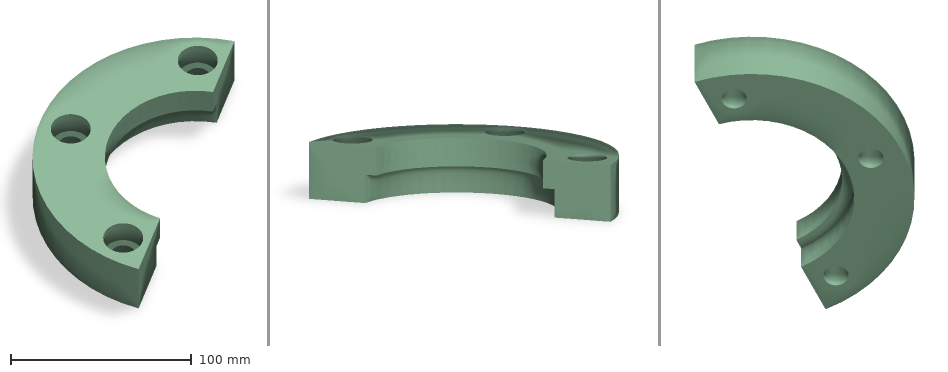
import cadquery as cq
import math

width = 179.7
cut_offset = 5.0
height = 32.0
bore_radius = 50.0
recess_radius = 56.6
recess_depth = height / 2
hole_diameter = 14.0
counterbore_diameter = 22.1
counterbore_depth = 13.7
middle_hole_radius = 72.0
end_hole_x = -20.1
end_hole_y = 70.0

outer_radius = math.hypot(width / 2, cut_offset)


def ring_segment():
    """Bored ring, kept only on the -X side of the cut face."""
    ring = cq.Workplane("XY").circle(outer_radius).circle(bore_radius).extrude(height)
    kept_side = (
        cq.Workplane("XY")
        .center(-cut_offset - outer_radius, 0)
        .rect(2 * outer_radius, 2 * outer_radius)
        .extrude(height)
    )
    return ring.intersect(kept_side)


def bottom_recess():
    """Cylinder that widens the bore from below."""
    return cq.Workplane("XY").circle(recess_radius).extrude(recess_depth)


hole_centers = [
    (end_hole_x, -end_hole_y),
    (-middle_hole_radius, 0),
    (end_hole_x, end_hole_y),
]

body = ring_segment().cut(bottom_recess())

result = (
    body.faces(">Z")
    .workplane(origin=(0, 0, height))
    .pushPoints(hole_centers)
    .cboreHole(hole_diameter, counterbore_diameter, counterbore_depth)
)